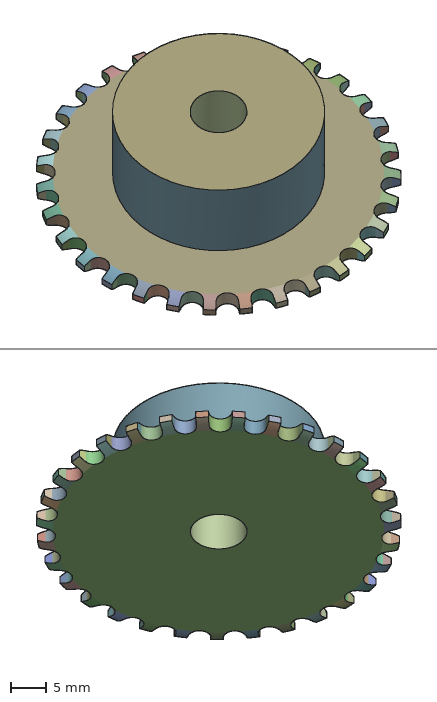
import cadquery as cq
import math

TOOTH_COUNT = 31
CHAIN_PITCH = 5.0
ROLLER_DIAMETER = 3.2
TIP_DIAMETER = 51.6
PLATE_THICKNESS = 2.3
RELIEF_INNER_DIAMETER = 46.8
RELIEF_RADIUS = 5.0
HUB_DIAMETER = 30.0
TOTAL_HEIGHT = 15.0
BORE_DIAMETER = 8.0

TOOTH_ANGLE = 360.0 / TOOTH_COUNT
FLANK_ANGLE = math.radians(TOOTH_ANGLE / 2)
PITCH_RADIUS = CHAIN_PITCH / (2 * math.sin(math.pi / TOOTH_COUNT))
SEAT_RADIUS = ROLLER_DIAMETER / 2
TIP_RADIUS = TIP_DIAMETER / 2
RELIEF_INNER_RADIUS = RELIEF_INNER_DIAMETER / 2
FIRST_TOOTH_ANGLE = 90.0
CUT_MARGIN = 1.0


def relief_drop(radius):
    """Depth of the curved tooth side below the plate face at a given radius."""
    reach = radius - RELIEF_INNER_RADIUS
    return RELIEF_RADIUS - math.sqrt(RELIEF_RADIUS**2 - reach**2)


def make_blank():
    """Disc whose rim narrows along an arc on both faces."""
    tip_drop = relief_drop(TIP_RADIUS)
    middle_radius = (RELIEF_INNER_RADIUS + TIP_RADIUS) / 2
    middle_drop = relief_drop(middle_radius)
    return (
        cq.Workplane("XZ")
        .lineTo(RELIEF_INNER_RADIUS, 0)
        .threePointArc((middle_radius, middle_drop), (TIP_RADIUS, tip_drop))
        .lineTo(TIP_RADIUS, PLATE_THICKNESS - tip_drop)
        .threePointArc(
            (middle_radius, PLATE_THICKNESS - middle_drop),
            (RELIEF_INNER_RADIUS, PLATE_THICKNESS),
        )
        .lineTo(0, PLATE_THICKNESS)
        .close()
        .revolve(360, (0, 0, 0), (0, 1, 0))
    )


def make_gap_cutter():
    """Gap on the +X axis: a round roller seat with tangent flanks opening outwards."""
    flank_start_x = PITCH_RADIUS - SEAT_RADIUS * math.sin(FLANK_ANGLE)
    flank_start_y = SEAT_RADIUS * math.cos(FLANK_ANGLE)
    outer_x = TIP_RADIUS + CUT_MARGIN
    outer_y = flank_start_y + (outer_x - flank_start_x) * math.tan(FLANK_ANGLE)
    return (
        cq.Workplane("XY")
        .moveTo(outer_x, -outer_y)
        .lineTo(flank_start_x, -flank_start_y)
        .threePointArc((PITCH_RADIUS - SEAT_RADIUS, 0), (flank_start_x, flank_start_y))
        .lineTo(outer_x, outer_y)
        .close()
        .extrude(PLATE_THICKNESS)
    )


def cut_gaps(blank):
    """Cut one gap midway between each pair of neighbouring teeth."""
    gap = make_gap_cutter()
    for index in range(TOOTH_COUNT):
        angle = FIRST_TOOTH_ANGLE + (index + 0.5) * TOOTH_ANGLE
        blank = blank.cut(gap.rotate((0, 0, 0), (0, 0, 1), angle))
    return blank


def make_hub():
    return cq.Workplane("XY").circle(HUB_DIAMETER / 2).extrude(TOTAL_HEIGHT)


def make_bore():
    return cq.Workplane("XY").circle(BORE_DIAMETER / 2).extrude(TOTAL_HEIGHT)


result = cut_gaps(make_blank()).union(make_hub()).cut(make_bore())